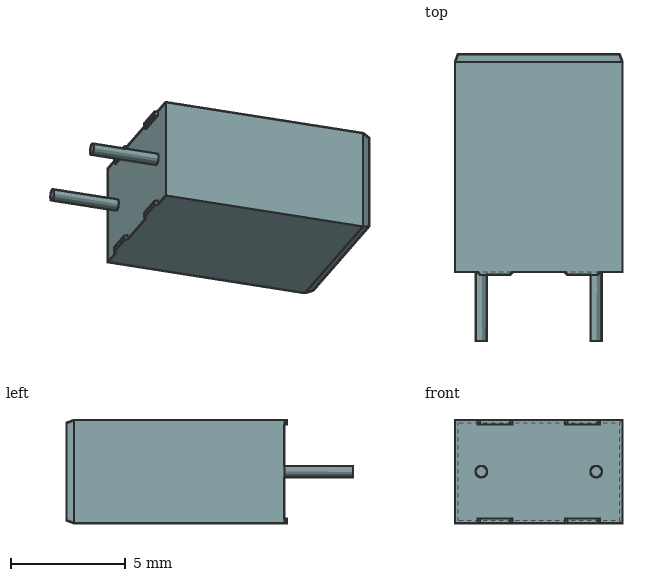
import cadquery as cq
import math

overall_length = 12.5

body_width = 7.3
body_length = 9.5
body_height = 4.5

rim_length = 0.34
rim_inset = 0.12

lead_diameter = 0.5
lead_length = overall_length - body_length
lead_spacing = 5.0

foot_spacing = 3.8
foot_base_width = 1.52
foot_slope = 0.11
foot_projection = 0.11
foot_height = 0.2


def make_body():
    """Box whose far end tapers inward on all four sides."""
    straight_length = body_length - rim_length
    box = cq.Workplane("XY").box(body_width, straight_length, body_height)
    box = box.translate((0, straight_length / 2, 0))
    taper_angle = math.degrees(math.atan2(rim_inset, rim_length))
    rim = (
        cq.Workplane("XZ", origin=(0, straight_length, 0))
        .rect(body_width, body_height)
        .extrude(-rim_length, taper=taper_angle)
    )
    return box.union(rim)


def make_lead(x):
    """Round wire running from the lead face toward -Y."""
    return cq.Workplane("XZ").center(x, 0).circle(lead_diameter / 2).extrude(lead_length)


def make_foot(x, bottom):
    """Low trapezoidal pad with sloped ends, standing on the lead face."""
    half_base = foot_base_width / 2
    half_tip = half_base - foot_slope
    return (
        cq.Workplane("XY", origin=(x, 0, bottom))
        .polyline([
            (-half_base, 0),
            (half_base, 0),
            (half_tip, -foot_projection),
            (-half_tip, -foot_projection),
        ])
        .close()
        .extrude(foot_height)
    )


result = make_body()
for side in (-1, 1):
    result = result.union(make_lead(side * lead_spacing / 2))
    for bottom in (-body_height / 2, body_height / 2 - foot_height):
        result = result.union(make_foot(side * foot_spacing / 2, bottom))